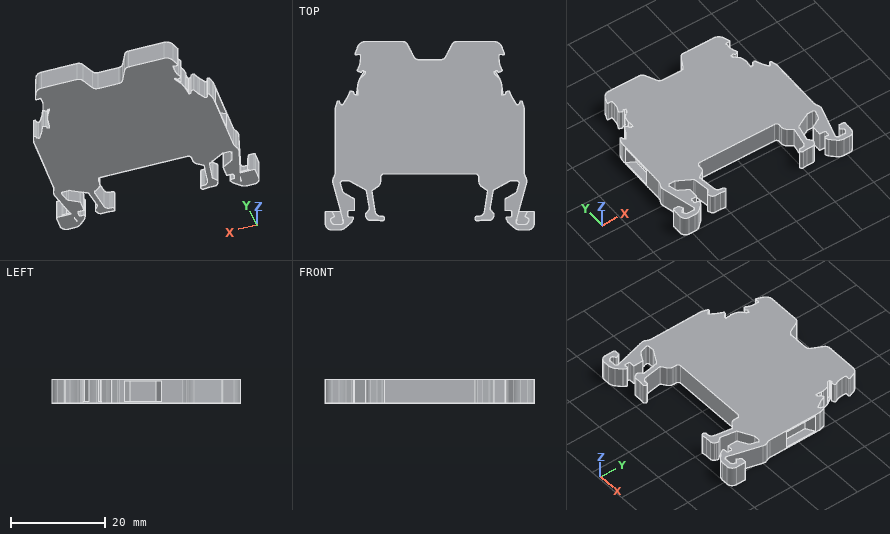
import cadquery as cq
import math


WIDTH = 44.33
LENGTH = 40.0
THICKNESS = 5.1

OUTER_X = -WIDTH / 2
TOP_Y = LENGTH / 2
BOTTOM_Y = -LENGTH / 2
SIDE_X = -20.05
VALLEY_Y = TOP_Y - 3.85
RAIL_X = -10.38
RAIL_Y = -8.1
ARCH_Y = -9.55
HOOK_TOP_Y = -16.02
HOOK_FLOOR_Y = -18.77
HEEL_X = -15.9
CATCH_X = -17.35
CATCH_TOP_Y = -15.86
CATCH_BOTTOM_Y = -17.17
TOE_X = -9.58
TOE_TOP_Y = -17.0
TOE_BOTTOM_Y = -18.12

WEB_THICKNESS = 0.4

WINDOW_CENTRE_Y = 0.69
WINDOW_LENGTH = 7.8
WINDOW_FLOOR_LENGTH = 5.5
WINDOW_HEIGHT = 4.4
WINDOW_DEPTH = 2.0

TOP_EDGE = [
    (-3.05, VALLEY_Y, 1.2),
    (-5.0, TOP_Y, 1.2),
    (-14.86, TOP_Y, 1.8),
]
UPPER_LIPS = [
    (-15.95, 17.15, 0.2),
    (-14.73, 17.22, 0.05),
    (-14.73, 15.3, 4.0),
    (-15.45, 13.75, 0.2),
    (-14.54, 13.38, 0.1),
    (-14.22, 13.80, 0.15),
    (-13.92, 13.69, 0.0),
]
NOTCH_EDGE = [
    (-15.17, 11.6, 5.0),
    (-15.57, 8.62, 0.1),
]
LOWER_LIPS = [
    (-16.0, 8.85, 0.1),
    (-16.15, 9.33, 0.1),
    (-16.82, 9.58, 0.15),
    (-17.50, 8.10, 4.0),
    (-18.52, 6.50, 0.25),
    (-19.02, 6.83, 0.1),
    (-19.15, 7.40, 0.15),
    (-19.58, 7.40, 0.2),
    (SIDE_X, 5.9, 1.5),
]
STRAP = [
    (SIDE_X, -8.15, 2.0),
    (-20.70, -9.45, 1.7),
]
HOOK = [
    (-18.13, HOOK_FLOOR_Y, 0.5),
    (-20.6, HOOK_FLOOR_Y, 0.6),
    (-21.2, -17.65, 0.5),
    (-20.16, -17.11, 0.1),
    (-20.72, HOOK_TOP_Y, 0.2),
    (OUTER_X, HOOK_TOP_Y, 0.25),
    (OUTER_X, BOTTOM_Y, 1.4),
    (-18.4, BOTTOM_Y, 2.2),
    (-16.55, -18.30, 0.5),
    (-15.95, CATCH_BOTTOM_Y, 0.3),
    (CATCH_X, CATCH_BOTTOM_Y, 0.25),
    (CATCH_X, CATCH_TOP_Y, 0.25),
    (HEEL_X, CATCH_TOP_Y, 0.1),
    (HEEL_X, -13.40, 0.1),
    (-18.36, -12.0, 0.7),
]
INNER_FOOT = [
    (-19.08, ARCH_Y, 0.45),
    (-17.11, ARCH_Y, 0.3),
    (-13.49, -11.53, 0.3),
    (-12.80, -15.55, 0.3),
    (-13.78, -16.7, 0.6),
    (-13.15, -17.95, 0.9),
    (-11.16, -17.92, 0.0),
    (TOE_X, TOE_BOTTOM_Y, 0.5),
    (TOE_X, TOE_TOP_Y, 0.5),
    (-11.4, TOE_TOP_Y, 1.1),
    (-12.24, -11.65, 0.15),
    (RAIL_X, -10.35, 1.4),
    (RAIL_X, RAIL_Y, 0.7),
]
HALF_OUTLINE = (
    [(0, VALLEY_Y, 0)]
    + TOP_EDGE + UPPER_LIPS + NOTCH_EDGE + LOWER_LIPS + STRAP + HOOK + INNER_FOOT
    + [(0, RAIL_Y, 0)]
)

UPPER_SLIVER = [(-14.0, 13.71), (-13.62, 13.60), (-13.70, 13.09), (-14.86, 12.1)]
LOWER_SLIVER = [(-15.50, 10.49), (-15.24, 9.70), (-15.24, 8.65), (-15.65, 8.75), (-15.65, 9.88)]

HOOK_WEB = [
    (-21.4, HOOK_TOP_Y),
    (-18.8, HOOK_TOP_Y),
    (-18.2, -18.9),
    (-21.4, -18.9),
]


def corner_fillet(before, corner, after):
    """Start, middle and end of the arc that rounds a corner; a sharp corner gives one point."""
    x, y, radius = corner
    if radius == 0:
        return [cq.Vector(x, y)]
    apex = cq.Vector(x, y)
    to_before = (cq.Vector(before[0], before[1]) - apex).normalized()
    to_after = (cq.Vector(after[0], after[1]) - apex).normalized()
    half_angle = to_before.getAngle(to_after) / 2
    setback = radius / math.tan(half_angle)
    apex_to_middle = radius / math.sin(half_angle) - radius
    bisector = (to_before + to_after).normalized()
    return [
        apex + to_before * setback,
        apex + bisector * apex_to_middle,
        apex + to_after * setback,
    ]


def rounded_plate(corners, height):
    """Plate standing on Z = 0 whose outline has the given filleted corners."""
    count = len(corners)
    outline = cq.Workplane("XY").moveTo(corners[0][0], corners[0][1])
    for i in range(1, count):
        points = corner_fillet(corners[i - 1], corners[i], corners[(i + 1) % count])
        outline = outline.lineTo(points[0].x, points[0].y)
        if len(points) > 1:
            outline = outline.threePointArc(points[1].toTuple()[:2], points[2].toTuple()[:2])
    return outline.close().extrude(height)


def sliver_cut(points):
    """Hollow from the web up through the upper face."""
    return (
        cq.Workplane("XY", origin=(0, 0, WEB_THICKNESS))
        .polyline(points)
        .close()
        .extrude(THICKNESS - WEB_THICKNESS)
    )


def window_cut():
    """Marker window: a trapezoid in plan, centred in the plate thickness."""
    half_opening = WINDOW_LENGTH / 2
    half_floor = WINDOW_FLOOR_LENGTH / 2
    floor_x = SIDE_X + WINDOW_DEPTH
    return (
        cq.Workplane("XY", origin=(0, WINDOW_CENTRE_Y, (THICKNESS - WINDOW_HEIGHT) / 2))
        .polyline([
            (SIDE_X, half_opening),
            (floor_x, half_floor),
            (floor_x, -half_floor),
            (SIDE_X, -half_opening),
        ])
        .close()
        .extrude(WINDOW_HEIGHT)
    )


def half_housing():
    """The -X half of the housing."""
    half = rounded_plate(HALF_OUTLINE, THICKNESS)
    for sliver in (UPPER_SLIVER, LOWER_SLIVER):
        half = half.cut(sliver_cut(sliver))
    half = half.cut(window_cut())
    hook_web = cq.Workplane("XY").polyline(HOOK_WEB).close().extrude(WEB_THICKNESS)
    return half.union(hook_web)


left_half = half_housing()
result = left_half.union(left_half.mirror("YZ")).clean()